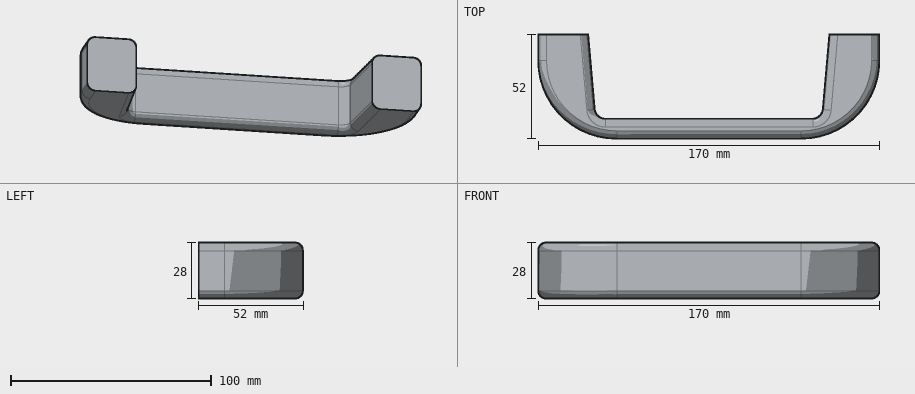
import cadquery as cq
import math

length = 170.0
depth = 52.0
height = 28.0

outer_radius = 39.1
grip_thickness = 10.0
foot_width = 25.0
inner_taper_deg = 5.0
inner_radius = 5.1
edge_radius = 4.0

half_length = length / 2
front_y = -depth / 2
back_y = depth / 2
grip_y = front_y + grip_thickness
mouth_half_width = half_length - foot_width
taper_run = (back_y - grip_y) * math.tan(math.radians(inner_taper_deg))
floor_half_width = mouth_half_width - taper_run


def make_blank():
    """Solid bar with large round corners at the front."""
    blank = cq.Workplane("XY").box(length, depth, height)
    return blank.edges("|Z and <Y").fillet(outer_radius)


def make_opening():
    """Tapered hand opening, wider at the mounting face."""
    opening = (
        cq.Workplane("XY")
        .workplane(offset=-height / 2)
        .moveTo(-mouth_half_width, back_y)
        .lineTo(-floor_half_width, grip_y)
        .lineTo(floor_half_width, grip_y)
        .lineTo(mouth_half_width, back_y)
        .close()
        .extrude(height)
    )
    return opening.edges("|Z and <Y").fillet(inner_radius)


def round_edges(body):
    """Round the upper and lower outlines, leaving the mounting faces sharp."""
    return body.faces("<Z or >Z").edges("not >Y").fillet(edge_radius)


result = round_edges(make_blank().cut(make_opening()))